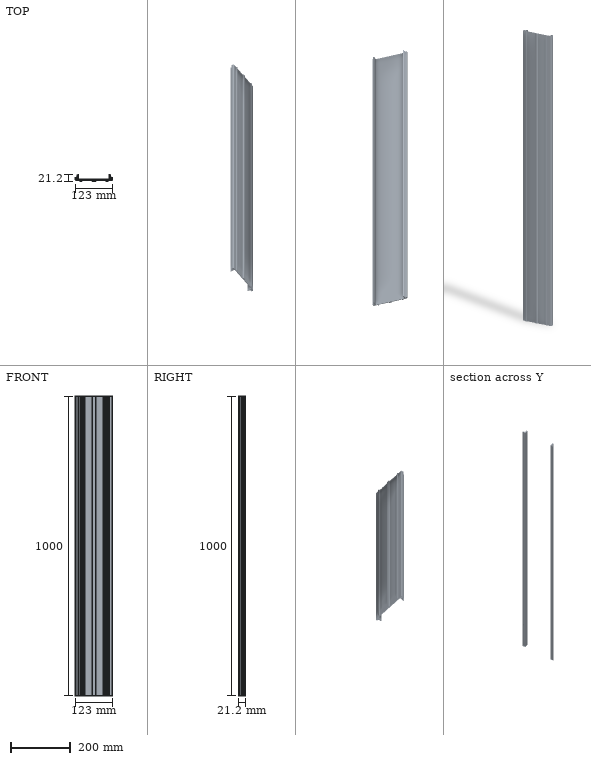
import cadquery as cq
import math

length = 1000.0
width = 123.0
half_width = width / 2

floor_bottom = 3.2
floor_thickness = 2.5
floor_top = floor_bottom + floor_thickness

flange_height = 8.0
flange_corner_radius = 4.0
channel_diameter = 3.0
channel_x = 57.0
channel_rise = 5.3
flange_top = floor_bottom + flange_height

wall_height = 18.0
wall_thickness = 5.5
wall_foot_x = 57.0
wall_inner_x = wall_foot_x - wall_thickness
notch_rise = 6.5
barb_depth = 2.0
lean_angle = math.radians(30)
wall_top = floor_bottom + wall_height
notch_height = flange_top + notch_rise
notch_x = wall_foot_x - notch_rise * math.tan(lean_angle)
barb_x = notch_x + barb_depth
barb_height = notch_height + barb_depth
crest_x = barb_x - (wall_top - barb_height) / math.tan(lean_angle)

center_rib_width = 12.0
center_rib_radius = 3.0
side_rib_width = 5.0
side_rib_radius = 1.5
side_rib_x = 43.5

groove_x = 33.0
groove_width = 5.0
groove_depth = 0.5


def half_body():
    """Floor, flange and snap wall on the +X side of the middle plane."""
    arc_inset = flange_corner_radius * (1 - math.sqrt(0.5))
    return (
        cq.Workplane("XY")
        .moveTo(0, floor_bottom)
        .lineTo(half_width - flange_corner_radius, floor_bottom)
        .threePointArc(
            (half_width - arc_inset, floor_bottom + arc_inset),
            (half_width, floor_bottom + flange_corner_radius),
        )
        .lineTo(half_width, flange_top)
        .lineTo(wall_foot_x, flange_top)
        .lineTo(notch_x, notch_height)
        .lineTo(barb_x, barb_height)
        .lineTo(crest_x, wall_top)
        .lineTo(wall_inner_x, wall_top)
        .lineTo(wall_inner_x, floor_top)
        .lineTo(0, floor_top)
        .close()
        .extrude(length)
    )


def rib(center_x, rib_width, corner_radius):
    """Rib reaching from the floor down to Y = 0."""
    return (
        cq.Workplane("XY")
        .center(center_x, floor_top / 2)
        .rect(rib_width, floor_top)
        .extrude(length)
        .edges("|Z and <Y")
        .fillet(corner_radius)
    )


def groove(center_x):
    """Shallow groove in the underside of the floor."""
    return (
        cq.Workplane("XY")
        .center(center_x, floor_bottom)
        .rect(groove_width, 2 * groove_depth)
        .extrude(length)
    )


def channel(center_x):
    """Round channel through a flange."""
    return (
        cq.Workplane("XY")
        .center(center_x, floor_bottom + channel_rise)
        .circle(channel_diameter / 2)
        .extrude(length)
    )


half = half_body()
result = half.union(half.mirror("YZ"))
result = result.union(rib(0, center_rib_width, center_rib_radius))
for side in (-1, 1):
    result = result.union(rib(side * side_rib_x, side_rib_width, side_rib_radius))
    result = result.cut(groove(side * groove_x))
    result = result.cut(channel(side * channel_x))
result = result.clean()